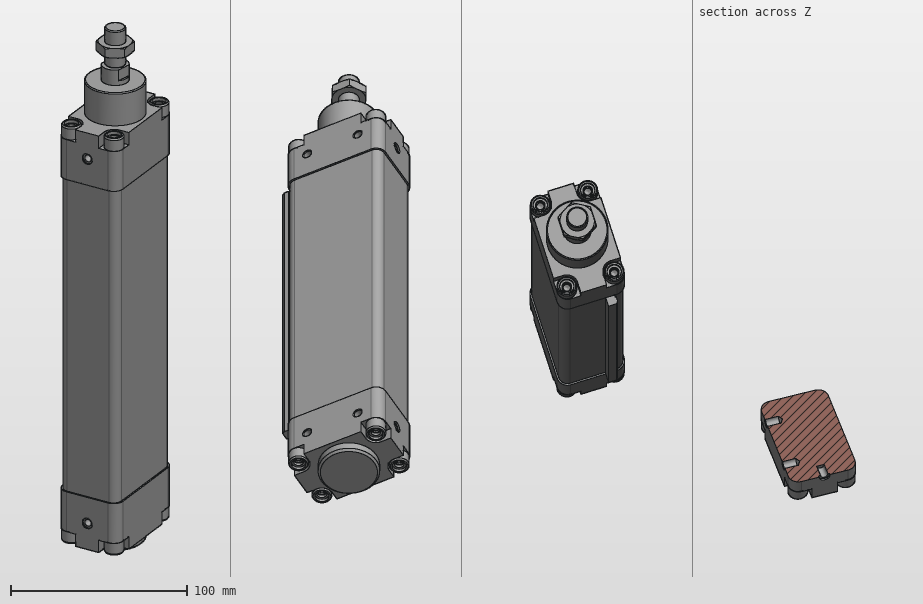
import cadquery as cq
import math

TOTAL_HEIGHT = 324.5
SPIGOT_HEIGHT = 6.0
CAP_HEIGHT = 33.0
BARREL_LENGTH = 198.3
NECK_HEIGHT = 20.8
BARREL_BOTTOM = SPIGOT_HEIGHT + CAP_HEIGHT
BARREL_TOP = BARREL_BOTTOM + BARREL_LENGTH
UPPER_CAP_TOP = BARREL_TOP + CAP_HEIGHT
NECK_TOP = UPPER_CAP_TOP + NECK_HEIGHT

CAP_WIDTH = 40.0
CAP_DEPTH = 62.0
CAP_CORNER_RADIUS = 6.2
BARREL_INSET = 1.0
NECK_DIAMETER = 35.0
NECK_CHAMFER = 0.5
SPIGOT_CHAMFER = 1.3

SCREW_INSET_X = 6.0
SCREW_INSET_Y = 6.2
SCREW_X = CAP_WIDTH / 2 - SCREW_INSET_X
SCREW_Y = CAP_DEPTH / 2 - SCREW_INSET_Y
POCKET_RADIUS = 6.5
POCKET_DEPTH = 7.8
HEAD_DIAMETER = 11.5
HEAD_CHAMFER = 0.5
HEAD_CHAMFER_HEIGHT = 1.0
RECESS_DIAMETER = 8.0
RECESS_DEPTH = 2.0
SOCKET_DIAMETER = 5.5
SOCKET_DEPTH = 4.0
SCREW_BORE_DIAMETER = 4.2
SCREW_BORE_DEPTH = 5.2

CAP_HOLE_OFFSET = CAP_HEIGHT / 2
MOUNT_HOLE_DIAMETER = 5.0
MOUNT_HOLE_DEPTH = 8.0
MOUNT_RIM_DIAMETER = 6.0
MOUNT_HOLE_Y = 16.2
PORT_DIAMETER = 4.2
PORT_RIM_DIAMETER = 6.5
PORT_RIM_DEPTH = 1.0
PORT_DEPTH = 8.0

DRILL_TIP_RATIO = 1 / math.tan(math.radians(59))

RAIL_LEFT = -13.0
RAIL_WIDTH = 6.0
RAIL_HEIGHT = 5.2
RAIL_CHAMFER_WIDTH = 1.0
RAIL_CHAMFER_HEIGHT = 1.5
RAIL_GROOVE_HEIGHT = 2.0
RAIL_GROOVE_DEPTH = 0.5

COLLAR_DIAMETER = 16.0
COLLAR_TOP = 300.8
FLAT_WIDTH = 13.0
FLAT_BOTTOM = 294.0
FLAT_ANGLE = -11.0
THREAD_DIAMETER = 12.0
THREAD_CHAMFER = 0.5
ROD_BOTTOM = UPPER_CAP_TOP

NUT_BOTTOM = 309.2
NUT_THICKNESS = 6.2
NUT_ACROSS_FLATS = 19.0
NUT_CORNER_DIAMETER = NUT_ACROSS_FLATS / math.cos(math.radians(30))
NUT_CHAMFER_HEIGHT = 0.5
NUT_CHAMFER_WIDTH = 1.3


def cylinder(diameter, bottom, top):
    """A round bar on the Z axis."""
    return cq.Workplane("XY", origin=(0, 0, bottom)).circle(diameter / 2).extrude(top - bottom)


def rounded_block(width, depth, radius, bottom, height):
    block = cq.Workplane("XY", origin=(0, 0, bottom)).rect(width, depth).extrude(height)
    return block.edges("|Z").fillet(radius)


def make_rail():
    """A bar along the barrel's back face; its left side has a chamfered edge and a groove at the foot."""
    foot = CAP_DEPTH / 2 - BARREL_INSET
    top = CAP_DEPTH / 2 + RAIL_HEIGHT
    right = RAIL_LEFT + RAIL_WIDTH
    groove_floor = RAIL_LEFT + RAIL_GROOVE_DEPTH
    profile = [
        (right, 0),
        (right, top),
        (RAIL_LEFT + RAIL_CHAMFER_WIDTH, top),
        (RAIL_LEFT, top - RAIL_CHAMFER_HEIGHT),
        (RAIL_LEFT, foot + RAIL_GROOVE_HEIGHT),
        (groove_floor, foot + RAIL_GROOVE_HEIGHT),
        (groove_floor, 0),
    ]
    return cq.Workplane("XY", origin=(0, 0, BARREL_BOTTOM)).polyline(profile).close().extrude(BARREL_LENGTH)


def corner_pocket(x_side, y_side, bottom):
    """The space around one screw, open to both sides; its inner corner is round about the screw."""
    size = POCKET_RADIUS + 2 * CAP_CORNER_RADIUS
    pocket = (
        cq.Workplane("XY", origin=(SCREW_X - POCKET_RADIUS, SCREW_Y - POCKET_RADIUS, bottom))
        .box(size, size, POCKET_DEPTH, centered=False)
        .edges("|Z and <X and <Y")
        .fillet(POCKET_RADIUS)
    )
    if x_side < 0:
        pocket = pocket.mirror("YZ")
    if y_side < 0:
        pocket = pocket.mirror("XZ")
    return pocket


def drill(diameter, depth):
    """A drilled hole with a conical bottom; it starts at the origin and goes along +X."""
    radius = diameter / 2
    outline = [(0, 0), (0, radius), (depth, radius), (depth + radius * DRILL_TIP_RATIO, 0)]
    return cq.Workplane("XY").polyline(outline).close().revolve(360, (0, 0), (1, 0))


def side_hole(diameter, rim, depth):
    """A drilled hole with a 45 degree countersink, starting at the origin along +X."""
    sink = cq.Workplane("XY").polyline([(0, 0), (0, rim / 2), (rim / 2, 0)]).close()
    return drill(diameter, depth).union(sink.revolve(360, (0, 0), (1, 0)))


def make_screw():
    """One screw head standing on Z = 0, with a recess and a threaded bore in its top."""
    head = cylinder(HEAD_DIAMETER, 0, POCKET_DEPTH).faces(">Z").chamfer(HEAD_CHAMFER_HEIGHT, HEAD_CHAMFER)
    head = head.cut(cylinder(RECESS_DIAMETER, POCKET_DEPTH - RECESS_DEPTH, POCKET_DEPTH))
    head = head.cut(cylinder(SOCKET_DIAMETER, POCKET_DEPTH - SOCKET_DEPTH, POCKET_DEPTH))
    bore = drill(SCREW_BORE_DIAMETER, SCREW_BORE_DEPTH).rotate((0, 0, 0), (0, 1, 0), 90)
    return head.cut(bore.translate((0, 0, POCKET_DEPTH)))


def add_screw_corners(cap):
    """Open the four top corners of a cap whose base is Z = 0 and set the screws in them."""
    floor = CAP_HEIGHT - POCKET_DEPTH
    for x in (-1, 1):
        for y in (-1, 1):
            cap = cap.cut(corner_pocket(x, y, floor))
            cap = cap.union(make_screw().translate((x * SCREW_X, y * SCREW_Y, floor)))
    return cap


def make_cap():
    """One end cap with its inner face on Z = 0 and its outer face up."""
    cap = add_screw_corners(rounded_block(CAP_WIDTH, CAP_DEPTH, CAP_CORNER_RADIUS, 0, CAP_HEIGHT))
    port = cq.Workplane("XZ", origin=(0, -CAP_DEPTH / 2, CAP_HOLE_OFFSET))
    cap = cap.cut(port.circle(PORT_RIM_DIAMETER / 2).extrude(-PORT_RIM_DEPTH))
    cap = cap.cut(port.circle(PORT_DIAMETER / 2).extrude(-PORT_DEPTH))
    for y in (-MOUNT_HOLE_Y, MOUNT_HOLE_Y):
        hole = side_hole(MOUNT_HOLE_DIAMETER, MOUNT_RIM_DIAMETER, MOUNT_HOLE_DEPTH)
        cap = cap.cut(hole.translate((-CAP_WIDTH / 2, y, CAP_HOLE_OFFSET)))
    return cap


def make_barrel():
    width = CAP_WIDTH - 2 * BARREL_INSET
    depth = CAP_DEPTH - 2 * BARREL_INSET
    radius = CAP_CORNER_RADIUS - BARREL_INSET
    return rounded_block(width, depth, radius, BARREL_BOTTOM, BARREL_LENGTH).union(make_rail())


def make_housing():
    """Both caps, the barrel between them, the neck and the spigot, with a seat for the rod."""
    upper_cap = make_cap().translate((0, 0, BARREL_TOP))
    lower_cap = make_cap().mirror("XY").translate((0, 0, BARREL_BOTTOM))
    neck = cylinder(NECK_DIAMETER, UPPER_CAP_TOP, NECK_TOP).faces(">Z").chamfer(NECK_CHAMFER)
    spigot = cylinder(NECK_DIAMETER, 0, SPIGOT_HEIGHT).faces("<Z").chamfer(SPIGOT_CHAMFER)
    housing = make_barrel().union(upper_cap).union(lower_cap).union(neck).union(spigot)
    return housing.cut(cylinder(COLLAR_DIAMETER, ROD_BOTTOM, NECK_TOP))


def make_rod():
    """A collar with two wrench flats, and the thread above it."""
    collar = cylinder(COLLAR_DIAMETER, ROD_BOTTOM, COLLAR_TOP)
    flats = cq.Workplane("XY", origin=(0, 0, FLAT_BOTTOM)).rect(FLAT_WIDTH, COLLAR_DIAMETER)
    flats = flats.extrude(COLLAR_TOP - FLAT_BOTTOM).rotate((0, 0, 0), (0, 0, 1), FLAT_ANGLE)
    round_part = cylinder(COLLAR_DIAMETER, ROD_BOTTOM, FLAT_BOTTOM)
    collar = collar.intersect(round_part.union(flats))
    thread = cylinder(THREAD_DIAMETER, COLLAR_TOP, TOTAL_HEIGHT).faces("<Z or >Z").chamfer(THREAD_CHAMFER)
    return collar.union(thread)


def make_nut():
    """A hexagon nut around the thread, with corners pointing along Y."""
    nut_top = NUT_BOTTOM + NUT_THICKNESS
    nut = (
        cq.Workplane("XY", origin=(0, 0, NUT_BOTTOM))
        .transformed(rotate=(0, 0, 90))
        .polygon(6, NUT_CORNER_DIAMETER)
        .extrude(NUT_THICKNESS)
    )
    rounding = cylinder(NUT_CORNER_DIAMETER, NUT_BOTTOM, nut_top)
    rounding = rounding.faces("<Z or >Z").chamfer(NUT_CHAMFER_HEIGHT, NUT_CHAMFER_WIDTH)
    bore = cylinder(THREAD_DIAMETER, NUT_BOTTOM, nut_top)
    return nut.intersect(rounding).cut(bore)


housing = make_housing()
rod = make_rod()
nut = make_nut()
result = cq.Compound.makeCompound([housing.val(), rod.val(), nut.val()])